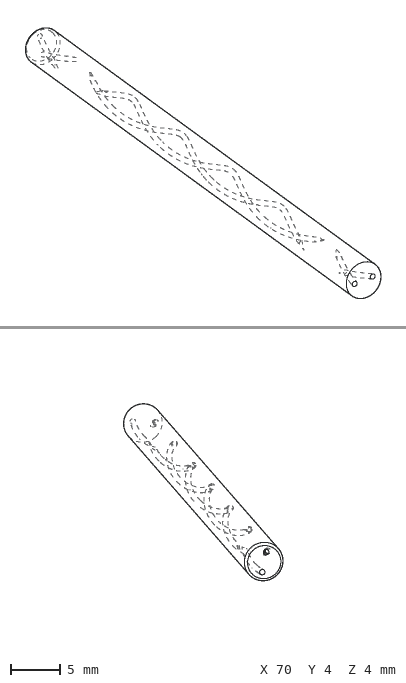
import cadquery as cq

rod_length = 70.0
rod_diameter = 4.0
end_chamfer = 0.3
channel_diameter = 0.55
channel_circle_radius = 1.05
channel_count = 2
channel_turns = 3.25
first_channel_angle = 101.0
end_overrun = 0.7

x_start = -rod_length / 2
pitch = rod_length / channel_turns
overrun_twist = 360.0 * end_overrun / pitch


def make_rod():
    rod = cq.Workplane("YZ", origin=(x_start, 0, 0)).circle(rod_diameter / 2).extrude(rod_length)
    return rod.faces("<X").chamfer(end_chamfer)


def make_channel(entry_angle):
    """Right-handed helical cutter whose centre meets the -X face at entry_angle."""
    helix_length = rod_length + 2 * end_overrun
    path = cq.Wire.makeHelix(pitch, helix_length, channel_circle_radius)
    profile = cq.Workplane("XY").center(channel_circle_radius, 0).circle(channel_diameter / 2)
    cutter = profile.sweep(cq.Workplane(obj=path), isFrenet=True)

    cutter = cutter.rotate((0, 0, 0), (0, 0, 1), entry_angle - overrun_twist)
    cutter = cutter.rotate((0, 0, 0), (1, 1, 1), 120)
    return cutter.translate((x_start - end_overrun, 0, 0))


result = make_rod()
for index in range(channel_count):
    result = result.cut(make_channel(first_channel_angle + index * 360.0 / channel_count))